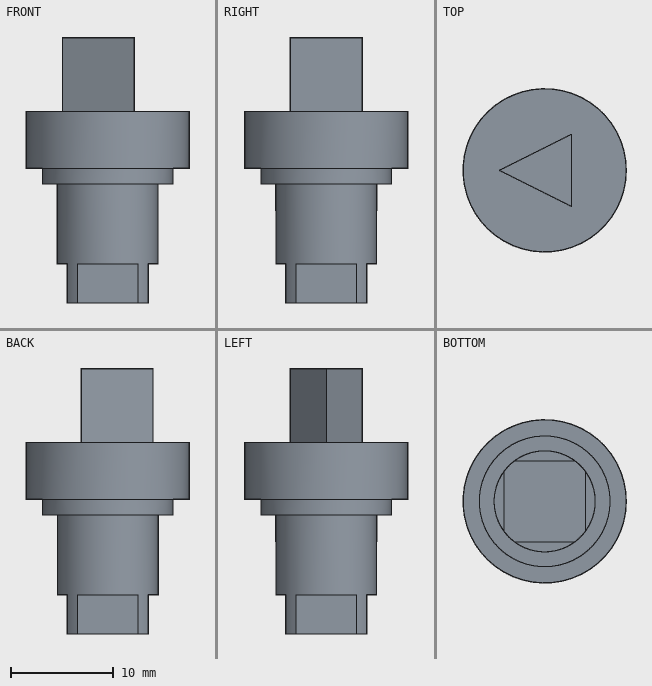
import cadquery as cq

drive_top = 3.82
shank_top = 11.55
collar_top = 13.07
flange_top = 18.61
key_top = 25.78

shank_diameter = 9.82
collar_diameter = 12.7
flange_diameter = 15.88

drive_width = 7.9

key_apex_x = -4.4
key_back_x = 2.6
key_width = 7.0


def cylinder(diameter, bottom, top):
    """Upright cylinder on the Z axis between two heights."""
    return cq.Workplane("XY").workplane(offset=bottom).circle(diameter / 2).extrude(top - bottom)


def square_drive():
    """Square end trimmed to the round of the shank."""
    square = cq.Workplane("XY").rect(drive_width, drive_width).extrude(drive_top)
    return square.intersect(cylinder(shank_diameter, 0, drive_top))


def triangular_key():
    """Isosceles triangular prism standing on the flange."""
    corners = [
        (key_apex_x, 0),
        (key_back_x, -key_width / 2),
        (key_back_x, key_width / 2),
    ]
    outline = cq.Workplane("XY").workplane(offset=flange_top).polyline(corners).close()
    return outline.extrude(key_top - flange_top)


result = (
    square_drive()
    .union(cylinder(shank_diameter, drive_top, shank_top))
    .union(cylinder(collar_diameter, shank_top, collar_top))
    .union(cylinder(flange_diameter, collar_top, flange_top))
    .union(triangular_key())
)